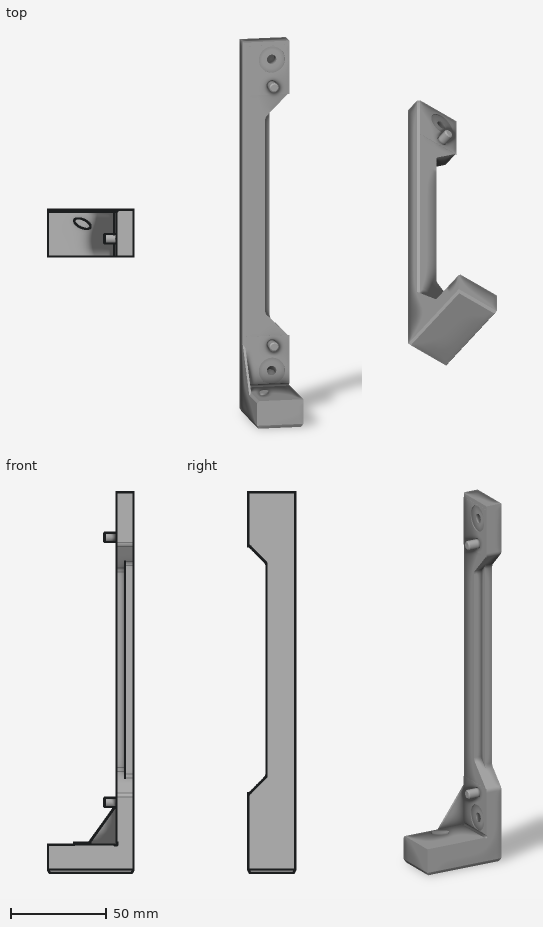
import cadquery as cq
import math

total_length = 45.0
total_width = 24.8
total_height = 200.1
arm_thickness = 9.0
foot_height = 15.0
arm_face_x = total_length - arm_thickness

arm_middle_z = 106.75
bend_offset = 65.6
bend_radius = 3.0
layer_thickness = arm_thickness / 2
front_layer_cutback = 13.0
rear_layer_cutback = 9.6

margin = 0.1
side_chamfer = 1.2
bottom_chamfer_height = 1.8
bottom_chamfer_inset = 1.0

gusset_thickness = side_chamfer
gusset_run = 15.0
gusset_rise = 21.0

relief_diameter = 1.8
relief_offset = 0.4

pad_height = 0.1
pad_inner_offset = 64.75
lower_pad_bottom_z = 17.1
upper_pad_top_z = 198.0
pad_width = total_width - side_chamfer

hole_y = 9.4
hole_diameter = 5.0
hole_depth = 6.0
recess_diameter = 14.0
recess_depth = 0.5
hole_offset = 83.6

lower_hole_depth = 2.5
slope_angle = 45.0
slope_axis_depth = 1.5
slope_lead = 1.0
slope_length = 2.9

pin_diameter = 5.0
pin_projection = 6.5
pin_depth = 6.0
pin_tip_chamfer = 0.6
pin_seat_chamfer = 0.4
hole_to_pin_spacing = 14.0
pin_offset = hole_offset - hole_to_pin_spacing
pin_heights = [arm_middle_z - pin_offset, arm_middle_z + pin_offset]

oval_x = 18.1
oval_y = 17.4
oval_major_radius = 4.6
oval_minor_radius = 2.2
oval_tilt = -25.0
oval_height = 1.0


def cylinder_along_x(diameter, length, start_x, center_z):
    """Cylinder on the hole line, running toward +X from start_x."""
    start = cq.Vector(start_x, hole_y, center_z)
    return cq.Workplane(cq.Solid.makeCylinder(diameter / 2, length, start, cq.Vector(1, 0, 0)))


def box_between(x_range, y_range, z_range):
    """Box given by its lower and upper limits on each axis."""
    size = [upper - lower for lower, upper in (x_range, y_range, z_range)]
    corner = (x_range[0], y_range[0], z_range[0])
    return cq.Workplane("XY").box(*size, centered=False).translate(corner)


def arm_layer(start_x, cutback):
    """One layer of the arm: a full plate less a waist with 45 degree ends and rounded bends."""
    plate = box_between((start_x, start_x + layer_thickness), (0, total_width), (0, total_height))
    waist_low_z = arm_middle_z - bend_offset
    waist_high_z = arm_middle_z + bend_offset
    waist = (
        cq.Workplane("YZ", origin=(start_x, 0, 0))
        .moveTo(0, waist_low_z)
        .lineTo(cutback, waist_low_z + cutback)
        .lineTo(cutback, waist_high_z - cutback)
        .lineTo(0, waist_high_z)
        .close()
        .extrude(layer_thickness)
    )
    layer = plate.cut(waist)
    waist_edges = cq.selectors.BoxSelector(
        (start_x - margin, -margin, waist_low_z - margin),
        (start_x + layer_thickness + margin, cutback + margin, waist_high_z + margin),
    )
    return layer.edges("|X").edges(waist_edges).fillet(bend_radius)


def make_bottom_chamfer_ring():
    """Material removed around the underside of the foot by its steep chamfer."""
    surround = box_between((0, total_length), (0, total_width), (0, bottom_chamfer_height))
    tapered_core = (
        cq.Workplane("XY", origin=(total_length / 2, total_width / 2, bottom_chamfer_height))
        .rect(total_length, total_width)
        .workplane(offset=-bottom_chamfer_height)
        .rect(total_length - 2 * bottom_chamfer_inset, total_width - 2 * bottom_chamfer_inset)
        .loft(ruled=True)
    )
    return surround.cut(tapered_core)


def make_l_body():
    """Foot and arm with chamfered inner +Y edges and a chamfered underside."""
    foot = box_between((0, total_length), (0, total_width), (0, foot_height))
    front_layer = arm_layer(arm_face_x, front_layer_cutback)
    rear_layer = arm_layer(arm_face_x + layer_thickness, rear_layer_cutback)
    body = foot.union(front_layer).union(rear_layer).clean()
    body = body.cut(make_bottom_chamfer_ring())
    inner_path_edges = cq.selectors.BoxSelector(
        (-margin, total_width - margin, foot_height - margin),
        (arm_face_x + margin, total_width + margin, total_height + margin),
    )
    return body.edges("|X or |Z").edges(inner_path_edges).chamfer(side_chamfer)


def make_gusset():
    """Triangular web on the +Y side, sunk into the chamfered edges of the foot and arm."""
    slope = gusset_rise / gusset_run
    low_x = arm_face_x - gusset_run - side_chamfer / slope
    high_z = foot_height + gusset_rise + side_chamfer * slope
    low_z = foot_height - side_chamfer
    back_x = arm_face_x + side_chamfer
    return (
        cq.Workplane("XZ", origin=(0, total_width, 0))
        .polyline([(low_x, low_z), (back_x, low_z), (back_x, high_z)])
        .close()
        .extrude(gusset_thickness)
    )


def make_corner_relief():
    """Round groove along the inner corner, stopping at the gusset."""
    center_x = arm_face_x - relief_offset
    center_z = foot_height + relief_offset
    return (
        cq.Workplane("XZ", origin=(center_x, 0, center_z))
        .circle(relief_diameter / 2)
        .extrude(-(total_width - gusset_thickness))
    )


def make_pad(bottom_z, top_z):
    """Thin raised pad on the arm face."""
    return box_between((arm_face_x - pad_height, arm_face_x), (0, pad_width), (bottom_z, top_z))


def make_oval():
    """Tilted oval pad standing on the foot."""
    return (
        cq.Workplane("XY", origin=(oval_x, oval_y, foot_height))
        .transformed(rotate=(0, 0, oval_tilt))
        .ellipse(oval_major_radius, oval_minor_radius)
        .extrude(oval_height)
    )


def make_sloping_hole_end(center_z):
    """Flat-ended bore that descends from near the end of the lower hole into the arm."""
    angle = math.radians(slope_angle)
    direction = cq.Vector(math.cos(angle), 0, -math.sin(angle))
    axis_crossing = cq.Vector(arm_face_x + slope_axis_depth, hole_y, center_z)
    start = axis_crossing - direction * slope_lead
    length = slope_lead + slope_length
    return cq.Workplane(cq.Solid.makeCylinder(hole_diameter / 2, length, start, direction))


def make_pin_seat(center_z):
    """Blind pin hole with a chamfered mouth at the pad face."""
    pad_face_x = arm_face_x - pad_height
    bore = cylinder_along_x(pin_diameter, pad_height + pin_depth, pad_face_x, center_z)
    mouth = cq.Solid.makeCone(
        pin_diameter / 2 + pin_seat_chamfer,
        pin_diameter / 2,
        pin_seat_chamfer,
        cq.Vector(pad_face_x, hole_y, center_z),
        cq.Vector(1, 0, 0),
    )
    return bore.union(cq.Workplane(mouth))


def make_bracket():
    body = make_l_body().union(make_gusset()).union(make_oval())
    body = body.cut(make_corner_relief())
    body = body.union(make_pad(lower_pad_bottom_z, arm_middle_z - pad_inner_offset))
    body = body.union(make_pad(arm_middle_z + pad_inner_offset, upper_pad_top_z))

    pad_face_x = arm_face_x - pad_height
    lower_hole_z = arm_middle_z - hole_offset
    upper_hole_z = arm_middle_z + hole_offset
    for center_z, depth in ((lower_hole_z, lower_hole_depth), (upper_hole_z, hole_depth)):
        body = body.cut(cylinder_along_x(recess_diameter, pad_height + recess_depth, pad_face_x, center_z))
        body = body.cut(cylinder_along_x(hole_diameter, depth, arm_face_x, center_z))
    body = body.cut(make_sloping_hole_end(lower_hole_z))

    for center_z in pin_heights:
        body = body.cut(make_pin_seat(center_z))
    return body


def make_pin(center_z):
    """Dowel pin seated in the arm, with a chamfered tip."""
    length = pin_projection + pin_depth
    pin = cylinder_along_x(pin_diameter, length, arm_face_x - pin_projection, center_z)
    return pin.faces("<X").chamfer(pin_tip_chamfer)


bracket = make_bracket()
pins = [make_pin(center_z) for center_z in pin_heights]

result = cq.Compound.makeCompound([bracket.val(), *[pin.val() for pin in pins]])